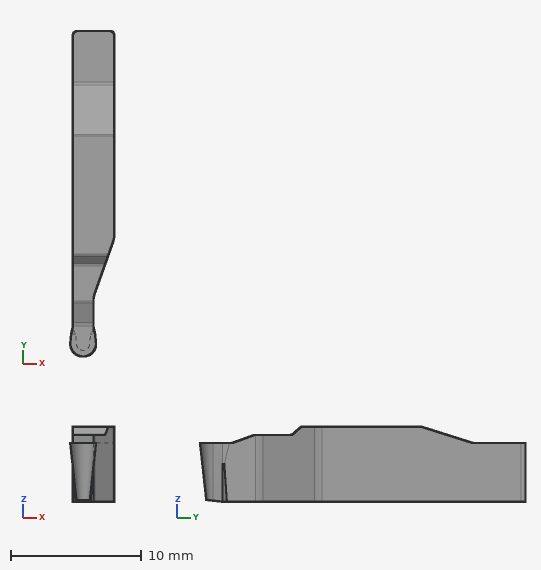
import cadquery as cq

LENGTH = 25.05
HEIGHT = 5.79
SHANK_WIDTH = 3.2
NECK_WIDTH = 1.6
NECK_CENTER = NECK_WIDTH / 2
REAR_CORNER_RADIUS = 0.38

LOW_TOP = 4.53
STEP_TOP = 5.15
REAR_RAMP_FOOT = 21.0
REAR_RAMP_CREST = 17.03
STEP_CREST = 7.8
STEP_FOOT = 7.1
FRONT_RAMP_CREST = 4.2
FRONT_RAMP_FOOT = 2.48

SHARP_BLEND = 0.28
CREST_BLEND = 0.4
FOOT_BLEND = 0.8

TAPER_START = 9.1
TAPER_END = 4.58
TAPER_BLEND = 1.75

NOSE_CENTER_Y = 1.0
NOSE_TOP_RADIUS = 1.0
NOSE_BOTTOM_RADIUS = 0.5
FLANK_END = 1.75
FLANK_TOP_HALF = 0.93
FLANK_BOTTOM_HALF = 0.58
TRANSITION_END_TOP = 2.28
TRANSITION_END_MIDDLE = 1.88
TRANSITION_END_BOTTOM = 2.08
NECK_FRONT = TRANSITION_END_TOP
NECK_OVERLAP = 0.25
RELIEF_RISE = 0.2


def make_shank():
    """Side profile, with blended corners, trimmed to the plan outline."""
    corners = [
        (REAR_RAMP_FOOT, LOW_TOP, FOOT_BLEND),
        (REAR_RAMP_CREST, HEIGHT, CREST_BLEND),
        (STEP_CREST, HEIGHT, SHARP_BLEND),
        (STEP_FOOT, STEP_TOP, SHARP_BLEND),
        (FRONT_RAMP_CREST, STEP_TOP, CREST_BLEND),
        (FRONT_RAMP_FOOT, LOW_TOP, FOOT_BLEND),
    ]
    outline = [(NECK_FRONT, 0), (LENGTH, 0), (LENGTH, LOW_TOP)]
    outline += [(y, z) for y, z, _ in corners]
    outline += [(NECK_FRONT, LOW_TOP)]
    profile = cq.Workplane("YZ").polyline(outline).close().extrude(SHANK_WIDTH)
    for y, z, radius in corners:
        corner = cq.selectors.NearestToPointSelector((SHANK_WIDTH / 2, y, z))
        profile = profile.edges("|X").edges(corner).fillet(radius)

    plan = (
        cq.Workplane("XY")
        .moveTo(0, NECK_FRONT)
        .lineTo(NECK_WIDTH, NECK_FRONT)
        .lineTo(NECK_WIDTH, TAPER_END)
        .lineTo(SHANK_WIDTH, TAPER_START)
        .lineTo(SHANK_WIDTH, LENGTH)
        .lineTo(0, LENGTH)
        .close()
        .extrude(HEIGHT)
    )
    plan = plan.edges("|Z and >Y").fillet(REAR_CORNER_RADIUS)
    for x, y in [(NECK_WIDTH, TAPER_END), (SHANK_WIDTH, TAPER_START)]:
        corner = cq.selectors.NearestToPointSelector((x, y, HEIGHT / 2))
        plan = plan.edges("|Z").edges(corner).fillet(TAPER_BLEND)
    return profile.intersect(plan)


def tapered(bottom, top, level):
    """Value part of the way from bottom (level 0) to top (level 1)."""
    return bottom + level * (top - bottom)


def nose_section(level):
    """Round nose with its flanks, at a level between bottom (0) and top (1)."""
    radius = tapered(NOSE_BOTTOM_RADIUS, NOSE_TOP_RADIUS, level)
    flank = tapered(FLANK_BOTTOM_HALF, FLANK_TOP_HALF, level)
    return (
        cq.Workplane("XY", origin=(0, 0, level * LOW_TOP))
        .moveTo(NECK_CENTER - flank, FLANK_END)
        .lineTo(NECK_CENTER - radius, NOSE_CENTER_Y)
        .threePointArc((NECK_CENTER, NOSE_CENTER_Y - radius), (NECK_CENTER + radius, NOSE_CENTER_Y))
        .lineTo(NECK_CENTER + flank, FLANK_END)
        .close()
        .val()
    )


def transition_section(level, end):
    """Outline between the neck and the back of the nose flanks."""
    flank = tapered(FLANK_BOTTOM_HALF, FLANK_TOP_HALF, level)
    neck_back = NECK_FRONT + NECK_OVERLAP
    outline = [
        (0, neck_back),
        (0, end),
        (NECK_CENTER - flank, FLANK_END),
        (NECK_CENTER + flank, FLANK_END),
        (NECK_WIDTH, end),
        (NECK_WIDTH, neck_back),
    ]
    return cq.Workplane("XY", origin=(0, 0, level * LOW_TOP)).polyline(outline).close().val()


def make_nose():
    """Tapered nose; its transition is shortest where the flank matches the neck."""
    match = (NECK_CENTER - FLANK_BOTTOM_HALF) / (FLANK_TOP_HALF - FLANK_BOTTOM_HALF)
    bottom_wire = transition_section(0, TRANSITION_END_BOTTOM)
    middle_wire = transition_section(match, TRANSITION_END_MIDDLE)
    top_wire = transition_section(1, TRANSITION_END_TOP)
    lower = cq.Solid.makeLoft([bottom_wire, middle_wire], True)
    upper = cq.Solid.makeLoft([middle_wire, top_wire], True)
    nose = cq.Solid.makeLoft([nose_section(0), nose_section(1)], True)
    relief = (
        cq.Workplane("YZ", origin=(-SHANK_WIDTH, 0, 0))
        .polyline([(FLANK_END, 0), (0, RELIEF_RISE), (0, 0)])
        .close()
        .extrude(2 * SHANK_WIDTH)
    )
    relieved_nose = cq.Workplane(nose).cut(relief)
    return relieved_nose.union(cq.Workplane(lower)).union(cq.Workplane(upper))


result = make_shank().union(make_nose())